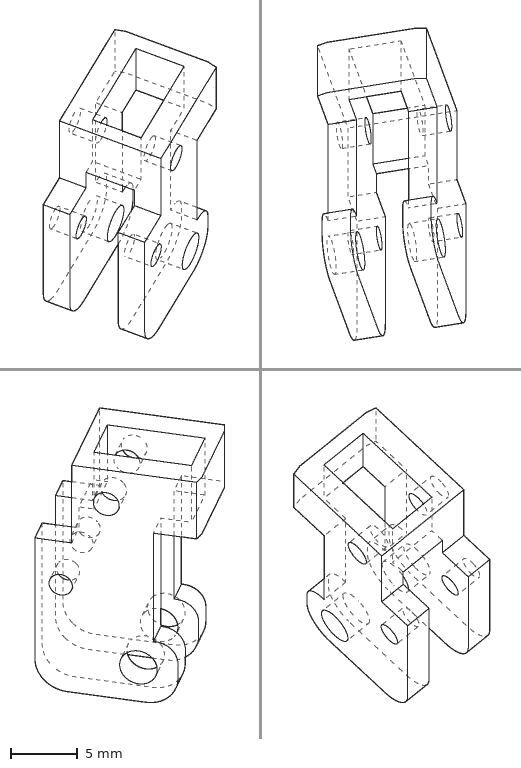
import cadquery as cq

width = 8.4
depth = 12.7
height = 20.0

head_bottom = 15.0
head_front = 2.85
shoulder_height = 13.15
body_back = 9.15
foot_back = 11.05
foot_top = 5.45
front_toe_radius = 2.5
foot_lower_radius = 2.5
foot_upper_radius = 1.7

slot_width = 4.0
pocket_front = 4.0
pocket_back = 11.55

bevel_along_x = 0.8
bevel_along_y = 0.2

cross_holes = [
    (5.52, 17.0, 2.0),
    (2.0, 9.35, 1.8),
    (8.0, 3.0, 2.9),
]


def side_body():
    """Full-width body extruded from the stepped side profile."""
    body = (
        cq.Workplane("YZ")
        .moveTo(0, 0)
        .lineTo(0, shoulder_height)
        .lineTo(head_front, shoulder_height)
        .lineTo(head_front, height)
        .lineTo(depth, height)
        .lineTo(depth, head_bottom)
        .lineTo(body_back, head_bottom)
        .lineTo(body_back, foot_top)
        .lineTo(foot_back, foot_top)
        .lineTo(foot_back, 0)
        .close()
        .extrude(width / 2, both=True)
    )
    rounded_corners = [
        (0, 0, front_toe_radius),
        (foot_back, 0, foot_lower_radius),
        (foot_back, foot_top, foot_upper_radius),
    ]
    for y, z, radius in rounded_corners:
        corner = cq.selectors.NearestToPointSelector((0, y, z))
        body = body.edges("|X").edges(corner).fillet(radius)
    return body


def fork_slot():
    """Slot that splits the part below the head into two cheeks."""
    return cq.Workplane("XY").box(slot_width, depth, head_bottom, centered=(True, False, False))


def head_pocket():
    """Rectangular opening through the head, down into the fork slot."""
    return (
        cq.Workplane("XY")
        .box(slot_width, pocket_back - pocket_front, height, centered=(True, False, False))
        .translate((0, pocket_front, 0))
    )


def rear_bevel(side):
    """Wedge removed from one rear edge of the head; side is -1 or 1."""
    edge_x = side * width / 2
    return (
        cq.Workplane("XY")
        .workplane(offset=head_bottom)
        .moveTo(edge_x, depth)
        .lineTo(edge_x - side * bevel_along_x, depth)
        .lineTo(edge_x, depth - bevel_along_y)
        .close()
        .extrude(height - head_bottom)
    )


def cross_hole(y, z, diameter):
    """Cylinder along X through both cheeks."""
    return cq.Workplane("YZ").center(y, z).circle(diameter / 2).extrude(width, both=True)


result = side_body().cut(fork_slot()).cut(head_pocket())
for side in (-1, 1):
    result = result.cut(rear_bevel(side))
for y, z, diameter in cross_holes:
    result = result.cut(cross_hole(y, z, diameter))